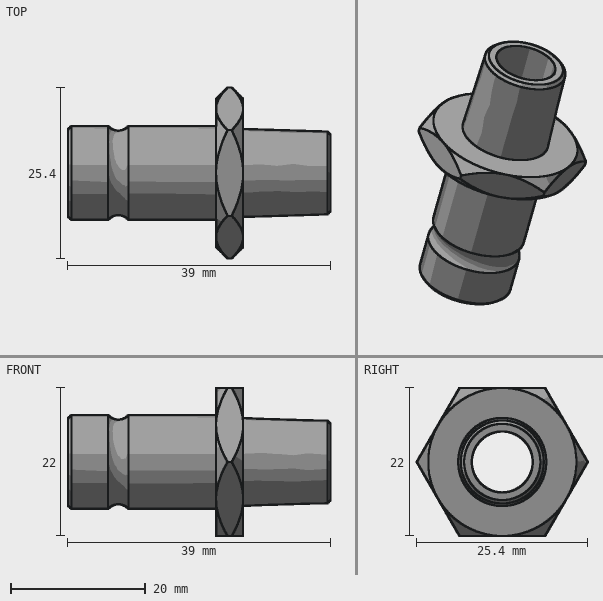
import cadquery as cq
import math

total_length = 39.0
bore_diameter = 9.0
end_chamfer = 0.5

body_radius = 7.0
groove_center_x = 7.5
groove_width = 3.0
groove_radius = 2.0

hex_start_x = 22.0
hex_thickness = 4.0
hex_across_flats = 22.0
hex_chamfer_angle = 45.0

taper_base_radius = 6.55
taper_on_diameter = 1 / 16

hex_end_x = hex_start_x + hex_thickness
hex_flat_radius = hex_across_flats / 2
hex_corner_radius = hex_flat_radius / math.cos(math.radians(30))


def revolve_about_x(profile):
    """Turn a closed XY profile (radius along Y) about the X axis."""
    return profile.close().revolve(360, (0, 0, 0), (1, 0, 0))


def make_plug():
    """Cylinder with a chamfered mouth and an arc-shaped groove around it."""
    half_width = groove_width / 2
    groove_depth = groove_radius - math.sqrt(groove_radius**2 - half_width**2)
    return revolve_about_x(
        cq.Workplane("XY")
        .lineTo(0, body_radius - end_chamfer)
        .lineTo(end_chamfer, body_radius)
        .lineTo(groove_center_x - half_width, body_radius)
        .threePointArc(
            (groove_center_x, body_radius - groove_depth),
            (groove_center_x + half_width, body_radius),
        )
        .lineTo(hex_end_x, body_radius)
        .lineTo(hex_end_x, 0)
    )


def make_hex_collar():
    """Hexagonal prism whose corners are turned down from both faces."""
    prism = (
        cq.Workplane("YZ", origin=(hex_start_x, 0, 0))
        .polygon(6, 2 * hex_corner_radius)
        .extrude(hex_thickness)
    )
    cone_rise = hex_corner_radius - hex_flat_radius
    cone_length = cone_rise / math.tan(math.radians(hex_chamfer_angle))
    turned_blank = revolve_about_x(
        cq.Workplane("XY")
        .moveTo(hex_start_x, 0)
        .lineTo(hex_start_x, hex_flat_radius)
        .lineTo(hex_start_x + cone_length, hex_corner_radius)
        .lineTo(hex_end_x - cone_length, hex_corner_radius)
        .lineTo(hex_end_x, hex_flat_radius)
        .lineTo(hex_end_x, 0)
    )
    return prism.intersect(turned_blank)


def make_tapered_end():
    """Cone frustum with a chamfered tip."""
    chamfer_start_x = total_length - end_chamfer
    tip_radius = taper_base_radius - (chamfer_start_x - hex_end_x) * taper_on_diameter / 2
    return revolve_about_x(
        cq.Workplane("XY")
        .moveTo(hex_start_x, 0)
        .lineTo(hex_start_x, taper_base_radius)
        .lineTo(hex_end_x, taper_base_radius)
        .lineTo(chamfer_start_x, tip_radius)
        .lineTo(total_length, tip_radius - end_chamfer)
        .lineTo(total_length, 0)
    )


bore = cq.Workplane("YZ").circle(bore_diameter / 2).extrude(total_length)

result = make_plug().union(make_hex_collar()).union(make_tapered_end()).cut(bore)